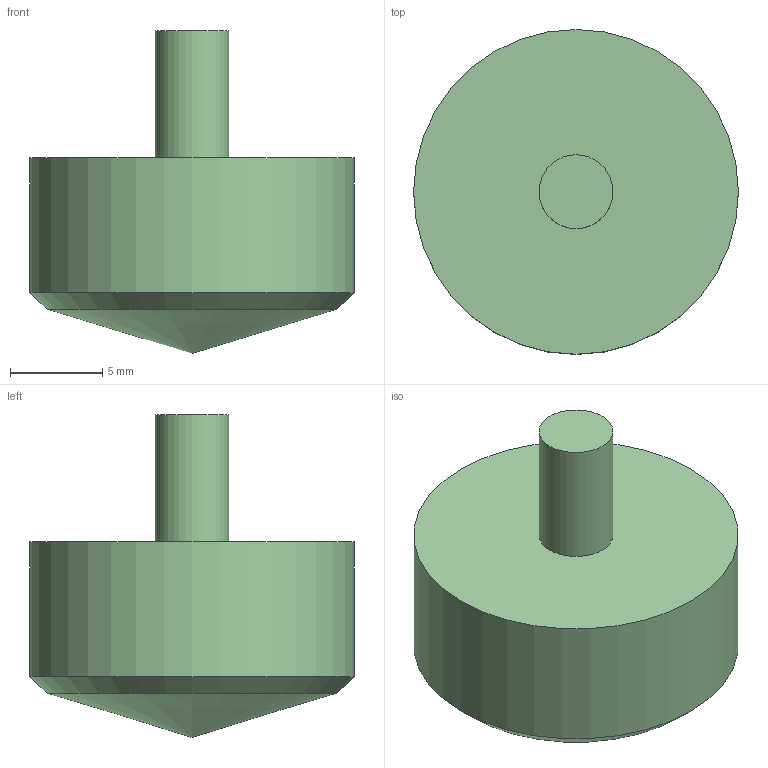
import cadquery as cq

body_diameter = 17.6
pin_diameter = 4.0
total_height = 17.5
pin_length = 6.9
chamfer_width = 0.95
chamfer_height = 0.9
cone_height = 2.4

body_radius = body_diameter / 2
pin_radius = pin_diameter / 2
cone_radius = body_radius - chamfer_width
body_bottom = cone_height + chamfer_height
body_top = total_height - pin_length


def turned_body():
    """Disc with a bevelled lower rim and a shallow conical point underneath."""
    half_profile = (
        cq.Workplane("XZ")
        .moveTo(0, 0)
        .lineTo(cone_radius, cone_height)
        .lineTo(body_radius, body_bottom)
        .lineTo(body_radius, body_top)
        .lineTo(0, body_top)
        .close()
    )
    return half_profile.revolve(360, (0, 0, 0), (0, 1, 0))


def pin():
    """Plain cylindrical pin standing on the top face of the disc."""
    return cq.Workplane("XY").workplane(offset=body_top).circle(pin_radius).extrude(pin_length)


result = turned_body().union(pin())